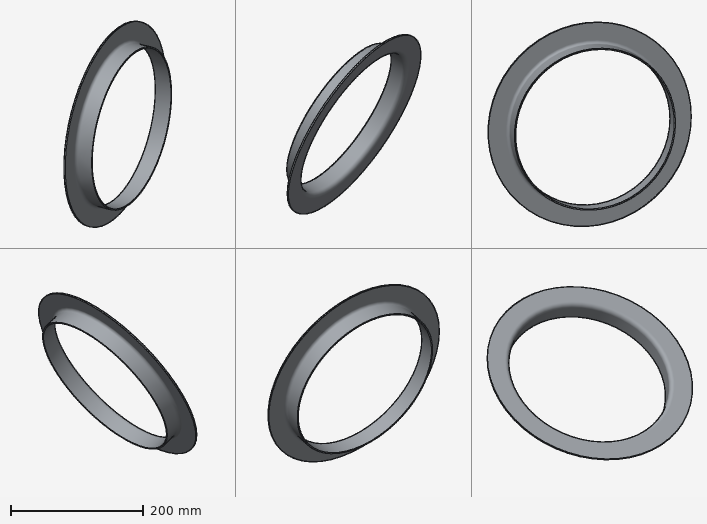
import cadquery as cq

flange_diameter = 320.0
collar_outer_diameter = 254.0
collar_inner_diameter = 250.0
total_depth = 30.0
flange_thickness = 2.5
outer_bend_radius = 4.8
inner_bend_radius = 7.0

flange_radius = flange_diameter / 2
collar_outer_radius = collar_outer_diameter / 2
collar_inner_radius = collar_inner_diameter / 2


def flanged_ring():
    """Flat flange with its outer face at X = 0, curving into a thin collar along +X."""
    section = (
        cq.Workplane("XY")
        .moveTo(0, flange_radius)
        .lineTo(flange_thickness, flange_radius)
        .lineTo(flange_thickness, collar_outer_radius + outer_bend_radius)
        .radiusArc((flange_thickness + outer_bend_radius, collar_outer_radius), -outer_bend_radius)
        .lineTo(total_depth, collar_outer_radius)
        .lineTo(total_depth, collar_inner_radius)
        .lineTo(inner_bend_radius, collar_inner_radius)
        .radiusArc((0, collar_inner_radius + inner_bend_radius), inner_bend_radius)
        .close()
    )
    return section.revolve(360, (0, 0, 0), (1, 0, 0))


result = flanged_ring()